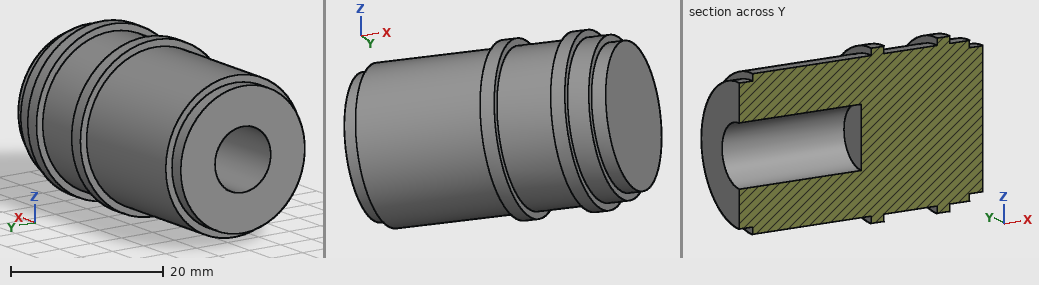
import cadquery as cq

length = 37.0

end_diameter = 20.0
body_diameter = 22.0
collar_diameter = 24.0
bore_diameter = 9.0

step_length = 2.0
collar_width = 2.0
collar_starts = (20.0, 30.0)
bore_depth = 18.5


def cylinder(diameter, start, span):
    """Solid cylinder on the X axis, from x = start to x = start + span."""
    return cq.Workplane("YZ", origin=(start, 0, 0)).circle(diameter / 2).extrude(span)


core = cylinder(end_diameter, 0, length)

body = cylinder(body_diameter, step_length, length - 2 * step_length)
result = core.union(body)

for collar_start in collar_starts:
    result = result.union(cylinder(collar_diameter, collar_start, collar_width))

result = result.cut(cylinder(bore_diameter, 0, bore_depth))